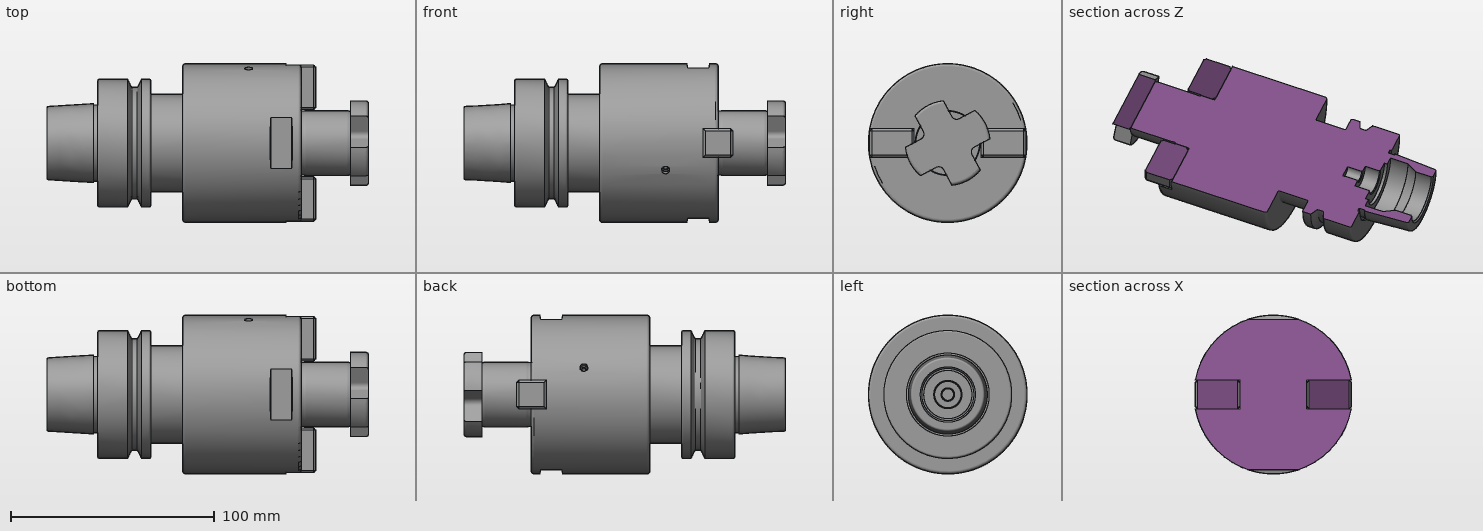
import cadquery as cq
import math


OPPOSITE_TURNS = (0, 180)

TOLERANCE = 0.002

LENGTH = 158.0
TAPER_END_X = 22.9
FLANGE_X = 25.0
FLANGE_END_X = 51.0
BODY_X = 66.7
BODY_END_X = 125.0
SPIGOT_END_X = 149.0

TAPER_TIP_RADIUS = 18.0
TAPER_BASE_RADIUS = 19.5
TAPER_TIP_ROUND = 1.0
TAPER_NECK_RADIUS = 18.8
FACE_GROOVE_RADIUS = 20.4
FACE_GROOVE_DEPTH = 1.0
FLANGE_RADIUS = 31.5
FLANGE_RIM_ROUND = 1.0
V_GROOVE_RADIUS = 27.5
V_GROOVE_TOP_START_X = 39.7
V_GROOVE_FLOOR_START_X = 41.5
V_GROOVE_FLOOR_END_X = 44.5
V_GROOVE_TOP_END_X = 46.5
NECK_RADIUS = 24.0
ROOT_ROUND = 0.5

BODY_RADIUS = 39.0
BODY_ROUND = 1.5
SPIGOT_RADIUS = 16.0
RELIEF_DEPTH = 0.2
RELIEF_WIDTH = 1.3
RELIEF_SLOPE = 0.8
SPIGOT_END_CHAMFER_LENGTH = 1.3
SPIGOT_END_CHAMFER_HEIGHT = 0.3

BORE_RADIUS = 12.8
BORE_CHAMFER = 0.8
BORE_LIP_LENGTH = 9.0
CLAMP_RADIUS = 16.0
CLAMP_SLOPE_ANGLE = 30.0
BORE_DEPTH = 23.7
BORE_FLOOR_RADIUS = 11.8
BORE_FLOOR_STEP = 1.6
PILOT_RADIUS = 6.5
PILOT_DEPTH = 7.9
CENTRE_HOLE_RADIUS = 2.8
CENTRE_HOLE_DEPTH = 7.9
SMALL_HOLE_CHAMFER = 0.5

FLAT_DEPTH = 2.0
FLAT_START_X = 110.0
FLAT_LENGTH = 10.3
FLAT_WALL_SLOPE = 0.5

KEY_WIDTH = 14.0
KEY_START_X = 117.5
KEY_LENGTH = 14.5
KEY_INNER_Y = 16.5
KEY_OUTER_Y = 38.4
KEY_CHAMFER = 1.1

SET_SCREW_X = 99.0
SET_SCREW_TILT = 20.0
SET_SCREW_RADIUS = 1.9
SET_SCREW_LENGTH = 6.3
SET_SCREW_RECESS = 3.2
SOCKET_RADIUS = 1.3
SOCKET_DEPTH = 1.9

SCREW_RADIUS = 20.9
SCREW_ROUND = 1.5
LOBE_WIDTH = 15.8
LOBE_TILT = 28.0
LOBE_ROOT_ROUND = 2.7


def revolve_about_x(points):
    """Solid of revolution of an (x, radius) outline about the X axis."""
    return cq.Workplane("XY").polyline(points).close().revolve(360, (0, 0, 0), (1, 0, 0))


def round_circle(solid, x, radius, round_radius):
    """Fillet the circular edge of the given radius at one station on the X axis."""
    circles = [
        edge for edge in solid.edges("%CIRCLE").vals()
        if math.isclose(edge.Center().x, x, abs_tol=TOLERANCE)
        and math.isclose(edge.radius(), radius, abs_tol=TOLERANCE)
    ]
    return solid.newObject(circles).fillet(round_radius)


def make_shank():
    """Taper, grooved flange and neck up to the main body."""
    groove_floor_x = FLANGE_X + FACE_GROOVE_DEPTH
    shank = revolve_about_x([
        (0, 0),
        (0, TAPER_TIP_RADIUS),
        (TAPER_END_X, TAPER_BASE_RADIUS),
        (TAPER_END_X, TAPER_NECK_RADIUS),
        (groove_floor_x, TAPER_NECK_RADIUS),
        (groove_floor_x, FACE_GROOVE_RADIUS),
        (FLANGE_X, FACE_GROOVE_RADIUS),
        (FLANGE_X, FLANGE_RADIUS),
        (V_GROOVE_TOP_START_X, FLANGE_RADIUS),
        (V_GROOVE_FLOOR_START_X, V_GROOVE_RADIUS),
        (V_GROOVE_FLOOR_END_X, V_GROOVE_RADIUS),
        (V_GROOVE_TOP_END_X, FLANGE_RADIUS),
        (FLANGE_END_X, FLANGE_RADIUS),
        (FLANGE_END_X, NECK_RADIUS),
        (BODY_X, NECK_RADIUS),
        (BODY_X, 0),
    ])
    shank = round_circle(shank, 0, TAPER_TIP_RADIUS, TAPER_TIP_ROUND)
    for rim_x in (FLANGE_X, FLANGE_END_X):
        shank = round_circle(shank, rim_x, FLANGE_RADIUS, FLANGE_RIM_ROUND)
    for root_x in (V_GROOVE_FLOOR_START_X, V_GROOVE_FLOOR_END_X):
        shank = round_circle(shank, root_x, V_GROOVE_RADIUS, ROOT_ROUND)
    return round_circle(shank, FLANGE_END_X, NECK_RADIUS, ROOT_ROUND)


def make_main_body():
    """Large cylinder with rounded rims."""
    body = cq.Workplane("YZ").workplane(offset=BODY_X).circle(BODY_RADIUS).extrude(BODY_END_X - BODY_X)
    return body.edges().fillet(BODY_ROUND)


def make_spigot():
    """Cutter seat with a shallow relief at its root and a chamfered end."""
    relief_end_x = BODY_END_X + RELIEF_WIDTH
    return revolve_about_x([
        (BODY_END_X, 0),
        (BODY_END_X, SPIGOT_RADIUS - RELIEF_DEPTH),
        (relief_end_x, SPIGOT_RADIUS - RELIEF_DEPTH),
        (relief_end_x + RELIEF_SLOPE, SPIGOT_RADIUS),
        (SPIGOT_END_X - SPIGOT_END_CHAMFER_LENGTH, SPIGOT_RADIUS),
        (SPIGOT_END_X, SPIGOT_RADIUS - SPIGOT_END_CHAMFER_HEIGHT),
        (SPIGOT_END_X, 0),
    ])


def make_bore():
    """Stepped blind bore with an undercut clamping shoulder."""
    clamp_rise = CLAMP_RADIUS - BORE_RADIUS
    clamp_x = BORE_LIP_LENGTH + clamp_rise / math.tan(math.radians(CLAMP_SLOPE_ANGLE))
    floor_x = BORE_DEPTH + BORE_FLOOR_STEP
    pilot_x = floor_x + PILOT_DEPTH
    centre_x = pilot_x + CENTRE_HOLE_DEPTH
    return revolve_about_x([
        (0, 0),
        (0, BORE_RADIUS + BORE_CHAMFER),
        (BORE_CHAMFER, BORE_RADIUS),
        (BORE_LIP_LENGTH, BORE_RADIUS),
        (clamp_x, CLAMP_RADIUS),
        (BORE_DEPTH, CLAMP_RADIUS),
        (BORE_DEPTH, BORE_FLOOR_RADIUS),
        (floor_x, BORE_FLOOR_RADIUS),
        (floor_x, PILOT_RADIUS + SMALL_HOLE_CHAMFER),
        (floor_x + SMALL_HOLE_CHAMFER, PILOT_RADIUS),
        (pilot_x, PILOT_RADIUS),
        (pilot_x, CENTRE_HOLE_RADIUS + SMALL_HOLE_CHAMFER),
        (pilot_x + SMALL_HOLE_CHAMFER, CENTRE_HOLE_RADIUS),
        (centre_x, CENTRE_HOLE_RADIUS),
        (centre_x, 0),
    ])


def make_flat_cutter():
    """Pocket with sloped end walls that leaves a wrench flat at +Z."""
    floor_z = BODY_RADIUS - FLAT_DEPTH
    flat_end_x = FLAT_START_X + FLAT_LENGTH
    return (
        cq.Workplane("XZ")
        .polyline([
            (FLAT_START_X, floor_z),
            (flat_end_x, floor_z),
            (flat_end_x + FLAT_WALL_SLOPE, BODY_RADIUS),
            (FLAT_START_X - FLAT_WALL_SLOPE, BODY_RADIUS),
        ])
        .close()
        .extrude(BODY_RADIUS, both=True)
    )


def make_key_block(outer_y):
    """Plain block on the +Y side, from the key's seat to the given outer Y."""
    return cq.Workplane("XY").box(
        KEY_LENGTH, outer_y - KEY_INNER_Y, KEY_WIDTH, centered=(False, False, True)
    ).translate((KEY_START_X, KEY_INNER_Y, 0))


def make_key(turn):
    """Drive key, chamfered round its outer, inner and front faces."""
    key = make_key_block(KEY_OUTER_Y).faces(">X or >Y or <Y").edges().chamfer(KEY_CHAMFER)
    return key.rotate((0, 0, 0), (1, 0, 0), turn)


def make_radial_cylinder(outer_radius, length):
    """Set screw cylinder along +Y, from the given radius inwards."""
    return (
        cq.Workplane("XZ", origin=(SET_SCREW_X, outer_radius, 0))
        .circle(SET_SCREW_RADIUS)
        .extrude(length)
    )


def make_set_screw(turn):
    """Set screw below the body surface, with a hexagon socket."""
    screw = make_radial_cylinder(BODY_RADIUS - SET_SCREW_RECESS, SET_SCREW_LENGTH)
    screw = screw.faces(">Y").workplane().polygon(6, 2 * SOCKET_RADIUS).cutBlind(-SOCKET_DEPTH)
    return screw.rotate((0, 0, 0), (1, 0, 0), turn)


def make_holder():
    """Shank, body and spigot in one piece, with seats for the loose parts."""
    holder = make_shank().union(make_main_body())
    holder = round_circle(holder, BODY_X, NECK_RADIUS, ROOT_ROUND)
    holder = holder.union(make_spigot()).cut(make_bore())
    key_slot = make_key_block(BODY_RADIUS)
    screw_hole = make_radial_cylinder(BODY_RADIUS, SET_SCREW_RECESS + SET_SCREW_LENGTH)
    flat_cutter = make_flat_cutter()
    for turn in OPPOSITE_TURNS:
        holder = holder.cut(key_slot.rotate((0, 0, 0), (1, 0, 0), turn))
        holder = holder.cut(screw_hole.rotate((0, 0, 0), (1, 0, 0), turn + SET_SCREW_TILT))
        holder = holder.cut(flat_cutter.rotate((0, 0, 0), (1, 0, 0), turn))
    return holder


def make_retaining_screw():
    """Cross-shaped screw head seated on the end of the spigot."""
    thickness = LENGTH - SPIGOT_END_X
    seat = cq.Workplane("YZ", origin=(SPIGOT_END_X, 0, 0))
    cross = seat.rect(2 * SCREW_RADIUS, LOBE_WIDTH).extrude(thickness)
    cross = cross.union(seat.rect(LOBE_WIDTH, 2 * SCREW_RADIUS).extrude(thickness))
    root_reach = LOBE_WIDTH / 2 + TOLERANCE
    roots = cq.selectors.BoxSelector(
        (SPIGOT_END_X, -root_reach, -root_reach), (LENGTH, root_reach, root_reach)
    )
    cross = cross.edges("|X").edges(roots).fillet(LOBE_ROOT_ROUND)
    blank = seat.circle(SCREW_RADIUS).extrude(thickness).faces(">X").edges().fillet(SCREW_ROUND)
    return blank.intersect(cross).rotate((0, 0, 0), (1, 0, 0), LOBE_TILT)


holder = make_holder()
keys = [make_key(turn) for turn in OPPOSITE_TURNS]
set_screws = [make_set_screw(turn + SET_SCREW_TILT) for turn in OPPOSITE_TURNS]
retaining_screw = make_retaining_screw()

loose_parts = [*keys, *set_screws, retaining_screw]
result = cq.Compound.makeCompound([holder.val(), *[part.val() for part in loose_parts]])